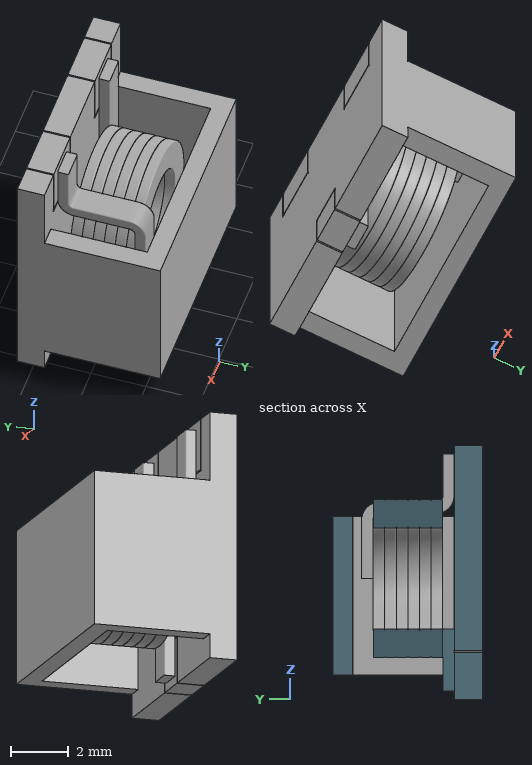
import cadquery as cq


housing_width = 8.5
housing_depth = 5.2
plate_height = 8.8
plate_thickness = 0.99
cover_height = 5.5
cover_top_drop = 2.45
cover_wall = 0.7

pad_gap = 0.05
top_pad_offset = 2.31
top_pad_width = 1.8
top_pad_height = 1.8
bottom_pad_width = 1.3
bottom_pad_height = 1.65

turn_count = 6
coil_length = 2.4
coil_radius = 2.75
coil_center_z = -0.2
wire_width = 1.0
wire_edge_fillet = 0.05

lead_tip_margin = 0.3
crossing_top_z = 2.44
bend_inner_radius = 0.2

plate_top_z = plate_height / 2
plate_bottom_z = -plate_height / 2
cover_center_z = plate_top_z - cover_top_drop - cover_height / 2
cover_depth = housing_depth - plate_thickness
wire_thickness = coil_length / turn_count
coil_front_y = plate_thickness + wire_thickness
coil_back_y = coil_front_y + coil_length
lead_center_y = plate_thickness + wire_thickness / 2
lead_top_z = plate_top_z - lead_tip_margin
lead_bottom_z = plate_bottom_z + lead_tip_margin

pads_layout = [
    (-top_pad_offset, top_pad_width, top_pad_height, 1),
    (top_pad_offset, top_pad_width, top_pad_height, 1),
    (0, bottom_pad_width, bottom_pad_height, -1),
]


def block_at_plate_edge(center_x, width, height, edge):
    """Block through the plate thickness, reaching inward from the top or bottom edge of the plate."""
    center_z = edge * (plate_height - height) / 2
    return (
        cq.Workplane("XY")
        .box(width, plate_thickness, height)
        .translate((center_x, plate_thickness / 2, center_z))
    )


def make_housing():
    plate = (
        cq.Workplane("XY")
        .box(housing_width, plate_thickness, plate_height)
        .translate((0, plate_thickness / 2, 0))
    )
    cover = (
        cq.Workplane("XY")
        .box(housing_width, cover_depth, cover_height)
        .translate((0, plate_thickness + cover_depth / 2, cover_center_z))
    )
    cavity_depth = cover_depth - cover_wall
    cavity = (
        cq.Workplane("XY")
        .box(housing_width - 2 * cover_wall, cavity_depth, cover_height)
        .translate((0, plate_thickness + cavity_depth / 2, cover_center_z))
    )
    housing = plate.union(cover.cut(cavity))
    for center_x, width, height, edge in pads_layout:
        notch = block_at_plate_edge(center_x, width + 2 * pad_gap, height + pad_gap, edge)
        housing = housing.cut(notch)
    return housing


def make_turn(front_y):
    """One ring of flat wire with rounded edges, its front face at front_y."""
    return (
        cq.Workplane("XZ", origin=(0, front_y, coil_center_z))
        .circle(coil_radius)
        .circle(coil_radius - wire_width)
        .extrude(-wire_thickness)
        .edges()
        .fillet(wire_edge_fillet)
    )


def make_coil():
    """Stack of turns joined face to face, leaving a fine groove between neighbours."""
    coil = make_turn(coil_front_y)
    for index in range(1, turn_count):
        coil = coil.union(make_turn(coil_front_y + index * wire_thickness))
    return coil


def wire_section(center_x, center_y, start_z):
    """Closed outline of the flat wire, ready to be extruded or swept along Z."""
    outline = cq.Sketch().rect(wire_width, wire_thickness).vertices().fillet(wire_edge_fillet)
    return cq.Workplane("XY", origin=(center_x, center_y, start_z)).placeSketch(outline)


def make_straight_lead(center_x, start_z, end_z):
    """Straight strip lying between the coil front and the plate."""
    return wire_section(center_x, lead_center_y, start_z).extrude(end_z - start_z)


def make_crossing_lead():
    """Strip rising behind the coil, crossing forward over its shoulder and rising again at the plate."""
    rear_y = coil_back_y + wire_thickness / 2
    crossing_z = crossing_top_z - wire_thickness / 2
    bend = bend_inner_radius + wire_thickness / 2
    path = (
        cq.Workplane("YZ", origin=(top_pad_offset, 0, 0))
        .moveTo(rear_y, coil_center_z)
        .lineTo(rear_y, crossing_z - bend)
        .tangentArcPoint((rear_y - bend, crossing_z), relative=False)
        .lineTo(lead_center_y + bend, crossing_z)
        .tangentArcPoint((lead_center_y, crossing_z + bend), relative=False)
        .lineTo(lead_center_y, lead_top_z)
    )
    return wire_section(top_pad_offset, rear_y, coil_center_z).sweep(path)


housing = make_housing()
pads = [block_at_plate_edge(*pad) for pad in pads_layout]
coil = make_coil()

left_lead = make_straight_lead(-top_pad_offset, coil_center_z, lead_top_z)
middle_lead = make_straight_lead(0, lead_bottom_z, coil_center_z - coil_radius + wire_width)
crossing_lead = make_crossing_lead()

result = cq.Compound.makeCompound([
    housing.solids().val(),
    *[pad.val() for pad in pads],
    coil.solids().val(),
    left_lead.val(),
    middle_lead.val(),
    crossing_lead.val(),
])